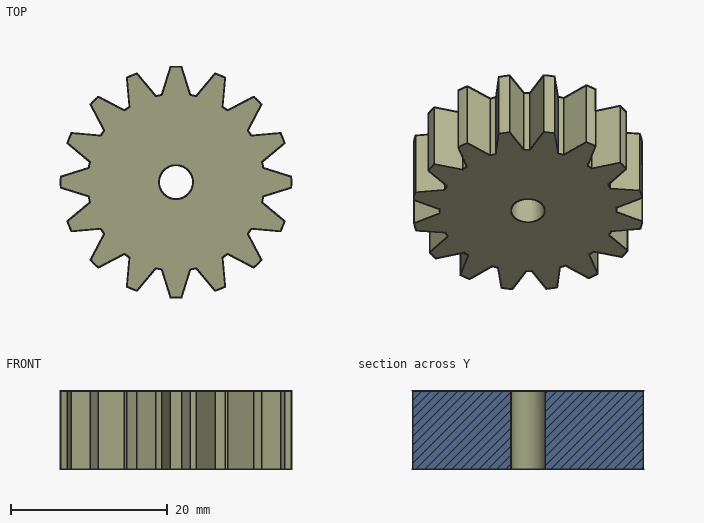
import cadquery as cq
import math

tooth_count = 16
tip_diameter = 29.5
root_diameter = 22.6
face_width = 10.0
bore_diameter = 4.3
tooth_tip_width = 1.42
tooth_root_width = 3.65

tip_radius = tip_diameter / 2
root_radius = root_diameter / 2
pitch_angle = 2 * math.pi / tooth_count
tip_half_angle = math.asin(tooth_tip_width / 2 / tip_radius)
root_half_angle = math.asin(tooth_root_width / 2 / root_radius)


def polar(radius, angle):
    """Return the XY point at a radius and angle about the gear axis."""
    return (radius * math.cos(angle), radius * math.sin(angle))


def gear_outline():
    """Draw straight-flanked teeth with round tips and round root floors."""
    outline = cq.Workplane("XY").moveTo(*polar(root_radius, -root_half_angle))
    for tooth in range(tooth_count):
        center = tooth * pitch_angle
        next_root = center + pitch_angle - root_half_angle
        outline = (
            outline.lineTo(*polar(tip_radius, center - tip_half_angle))
            .threePointArc(polar(tip_radius, center), polar(tip_radius, center + tip_half_angle))
            .lineTo(*polar(root_radius, center + root_half_angle))
            .threePointArc(polar(root_radius, center + pitch_angle / 2), polar(root_radius, next_root))
        )
    return outline.close()


gear = gear_outline().extrude(face_width)
bore = cq.Workplane("XY").circle(bore_diameter / 2).extrude(face_width)
result = gear.cut(bore)